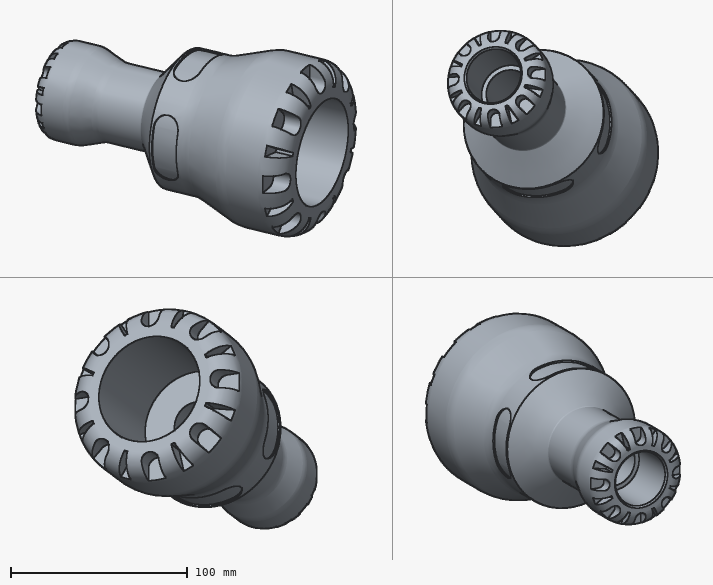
import cadquery as cq
import math

length = 172.0
large_radius = 103.0 / 2
collar_radius = 82.4 / 2
neck_radius = 46.5 / 2
small_radius = 58.0 / 2

blend_angle = math.radians(20.0)
small_blend_start = 20.8
small_blend_radius = 12.2
large_blend_end = 137.6
large_blend_radius = 21.3

cone_start = 68.0
cone_root_fillet = 1.0
collar_start = 83.0

small_rim_radius = 9.0
large_rim_radius = 13.8

hole_diameter = 26.5
small_socket_diameter = 32.0
small_socket_depth = small_socket_diameter
small_socket_chamfer = 1.0
large_socket_diameter = 63.0
large_socket_depth = large_socket_diameter

grip_count = 8
small_slot_width = 6.9
large_slot_width = 10.8
small_notch_floor = 1.4
large_notch_floor = 1.9
notch_half_angle = math.radians(10.0)
grip_floor_rise = 0.2

end_overrun = 1.7

pocket_count = 4
pocket_length = 41.1
pocket_width = 15.7
pocket_depth = 1.0
pocket_margin = 1.5


def blend_length(drop, arc_radius):
    """Axial length of a cone with tangent arcs at both ends that changes the radius by drop."""
    arc_drop = arc_radius * (1 - math.cos(blend_angle))
    cone_length = (drop - 2 * arc_drop) / math.tan(blend_angle)
    return cone_length + 2 * arc_radius * math.sin(blend_angle)


def add_blend(outline, x_start, r_start, x_end, r_end, arc_radius):
    """Continue the outline with arc, cone and arc from one cylinder to the next."""
    side = math.copysign(1, r_end - r_start)

    def arc_offset(angle):
        return arc_radius * math.sin(angle), side * arc_radius * (1 - math.cos(angle))

    half_dx, half_dr = arc_offset(blend_angle / 2)
    full_dx, full_dr = arc_offset(blend_angle)
    return (
        outline
        .threePointArc((x_start + half_dx, r_start + half_dr), (x_start + full_dx, r_start + full_dr))
        .lineTo(x_end - full_dx, r_end - full_dr)
        .threePointArc((x_end - half_dx, r_end - half_dr), (x_end, r_end))
    )


def make_body():
    small_blend_end = small_blend_start + blend_length(small_radius - neck_radius, small_blend_radius)
    large_blend_start = large_blend_end - blend_length(large_radius - collar_radius, large_blend_radius)

    outline = (
        cq.Workplane("XY")
        .lineTo(0, small_radius - small_rim_radius)
        .radiusArc((small_rim_radius, small_radius), small_rim_radius)
        .lineTo(small_blend_start, small_radius)
    )
    outline = add_blend(
        outline, small_blend_start, small_radius, small_blend_end, neck_radius, small_blend_radius
    )
    outline = (
        outline
        .lineTo(cone_start, neck_radius)
        .lineTo(collar_start, collar_radius)
        .lineTo(large_blend_start, collar_radius)
    )
    outline = add_blend(
        outline, large_blend_start, collar_radius, large_blend_end, large_radius, large_blend_radius
    )
    outline = (
        outline
        .lineTo(length - large_rim_radius, large_radius)
        .radiusArc((length, large_radius - large_rim_radius), large_rim_radius)
        .lineTo(length, 0)
        .close()
    )
    body = outline.revolve(360, (0, 0, 0), (1, 0, 0))
    pick_margin = cone_root_fillet
    cone_root = cq.selectors.BoxSelector(
        (cone_start - pick_margin, -neck_radius - pick_margin, -neck_radius - pick_margin),
        (cone_start + pick_margin, neck_radius + pick_margin, neck_radius + pick_margin),
        boundingbox=True,
    )
    return body.edges(cone_root).fillet(cone_root_fillet)


def cylinder_along_x(x_start, x_end, diameter):
    return cq.Workplane("YZ", origin=(x_start, 0, 0)).circle(diameter / 2).extrude(x_end - x_start)


def make_bore():
    hole = cylinder_along_x(0, length, hole_diameter)
    small_socket = cylinder_along_x(0, small_socket_depth, small_socket_diameter)
    large_socket = cylinder_along_x(length - large_socket_depth, length, large_socket_diameter)
    mouth_radius = small_socket_diameter / 2 + small_socket_chamfer
    mouth = (
        cq.Workplane("XY")
        .polyline([(0, 0), (0, mouth_radius), (mouth_radius, 0)])
        .close()
        .revolve(360, (0, 0, 0), (1, 0, 0))
    )
    return hole.union(small_socket).union(large_socket).union(mouth)


def cut_grip(body, x_start, cut_length, head_radius, rim_radius, slot_width, notch_floor):
    """Cut alternating slots and notches into a rim, almost down to its flat end face."""
    floor_radius = head_radius - rim_radius + grip_floor_rise
    outer = head_radius + slot_width
    half_width = slot_width / 2
    slot = (
        cq.Workplane("YZ", origin=(x_start, 0, 0))
        .moveTo(half_width, outer)
        .lineTo(half_width, floor_radius + half_width)
        .threePointArc((0, floor_radius), (-half_width, floor_radius + half_width))
        .lineTo(-half_width, outer)
        .close()
        .extrude(cut_length)
    )
    inner_half = notch_floor / 2
    outer_half = inner_half + (outer - floor_radius) * math.tan(notch_half_angle)
    notch = (
        cq.Workplane("YZ", origin=(x_start, 0, 0))
        .polyline([
            (inner_half, floor_radius),
            (outer_half, outer),
            (-outer_half, outer),
            (-inner_half, floor_radius),
        ])
        .close()
        .extrude(cut_length)
    )
    pitch = 360 / grip_count
    for i in range(grip_count):
        body = body.cut(slot.rotate((0, 0, 0), (1, 0, 0), i * pitch))
        body = body.cut(notch.rotate((0, 0, 0), (1, 0, 0), (i + 0.5) * pitch))
    return body


def cut_pockets(body):
    """Cut oblong pockets, long across the axis, whose floors follow a smaller cylinder."""
    center_x = collar_start + pocket_margin + pocket_width / 2
    prism = (
        cq.Workplane("XY", origin=(center_x, 0, 0))
        .slot2D(pocket_length, pocket_width, 90)
        .extrude(collar_radius)
    )
    floor_diameter = 2 * (collar_radius - pocket_depth)
    pocket = prism.cut(cylinder_along_x(collar_start, large_blend_end, floor_diameter))
    for i in range(pocket_count):
        body = body.cut(pocket.rotate((0, 0, 0), (1, 0, 0), i * 360 / pocket_count))
    return body


result = make_body().cut(make_bore())
result = cut_grip(
    result, -end_overrun, small_slot_width + end_overrun,
    small_radius, small_rim_radius, small_slot_width, small_notch_floor,
)
result = cut_grip(
    result, length - large_slot_width, large_slot_width + end_overrun,
    large_radius, large_rim_radius, large_slot_width, large_notch_floor,
)
result = cut_pockets(result)